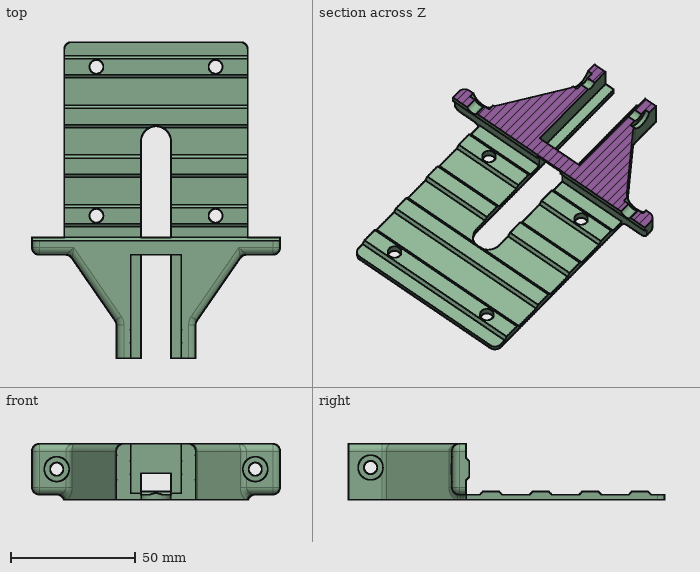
import cadquery as cq

profile_size = 20.0
base_thickness = 2.1
flange_height = 20.5
bracket_height = base_thickness + flange_height
edge_radius = 3.0

plate_width = 74.0
ridge_count = 4
plate_length = ridge_count * profile_size
plate_hole_diameter = 5.5
plate_hole_spacing = 48.0
slot_width = 12.0
slot_centre_y = 2 * profile_size
slot_height = 10.6

ridge_height = 1.25
ridge_base_width = 9.0
ridge_top_width = ridge_base_width - 2 * ridge_height

flange_width = 100.0
flange_thickness = 5.75
flange_hole_spacing = 80.0
flange_hole_diameter = 5.2
arm_reach = 47.5
arm_wall = 5.75
channel_width = 20.5
channel_floor_z = 2.6
arm_half_width = channel_width / 2 + arm_wall
gusset_flange_x = 34.8
gusset_arm_y = -33.0
root_corner_radius = 4.0
arm_hole_diameter = 5.25
arm_hole_setback = 9.0
arm_hole_y = -arm_reach + arm_hole_setback
arm_hole_z = 13.0
counterbore_diameter = 10.0
counterbore_depth = 2.0

mid_height = base_thickness + flange_height / 2
overlap = 1.0
blend_depth = 5.0
corner_margin = 0.06


def box(x_min, x_max, y_min, y_max, z_min, z_max):
    """Axis-aligned block between the given limits."""
    size = (x_max - x_min, y_max - y_min, z_max - z_min)
    return cq.Workplane("XY").box(*size, centered=False).translate((x_min, y_min, z_min))


def ridge(length):
    """Trapezoidal rib along X, centred on the origin and rising along +Z."""
    outline = [
        (-ridge_base_width / 2, -overlap),
        (ridge_base_width / 2, -overlap),
        (ridge_base_width / 2, 0),
        (ridge_top_width / 2, ridge_height),
        (-ridge_top_width / 2, ridge_height),
        (-ridge_base_width / 2, 0),
    ]
    return cq.Workplane("YZ").polyline(outline).close().extrude(length / 2, both=True)


def base_plate():
    """Flat plate with rounded rear corners and evenly spaced ridges."""
    plate = box(-plate_width / 2, plate_width / 2, -overlap, plate_length, 0, base_thickness)
    plate = plate.edges("|Z and >Y").fillet(edge_radius)
    for index in range(ridge_count):
        ridge_y = (index + 0.5) * profile_size
        plate = plate.union(ridge(plate_width).translate((0, ridge_y, base_thickness)))
    return plate


def mirrored_edges(body, midpoints):
    """Edges whose midpoints lie nearest the given points, on both sides of the YZ plane."""
    found = []
    for x, y, z in midpoints:
        for side in (-1, 1):
            found += body.edges(cq.NearestToPointSelector((side * x, y, z))).vals()
    return body.newObject(found)


def arm_block():
    """Tapering block carrying the arms, reaching below Z = 0 so its root blends can form fully."""
    half_plate = plate_width / 2
    slope = (gusset_flange_x - arm_half_width) / (-flange_thickness - gusset_arm_y)
    gusset_root_y = (half_plate - gusset_flange_x) / slope - flange_thickness
    right_side = [
        (half_plate, 0),
        (half_plate, gusset_root_y),
        (arm_half_width, gusset_arm_y),
        (arm_half_width, -arm_reach),
    ]
    left_side = [(-x, y) for x, y in reversed(right_side)]
    outline = cq.Workplane("XY").workplane(offset=-blend_depth).polyline(right_side + left_side).close()
    block = outline.extrude(bracket_height + blend_depth)

    block_mid_z = (bracket_height - blend_depth) / 2
    root_corners = mirrored_edges(block, [(half_plate, gusset_root_y, block_mid_z)])
    return root_corners.fillet(root_corner_radius)


def bracket_body():
    """Flange joined to the arm block, with its front and upper edges rounded and inner corners blended."""
    half_flange = flange_width / 2
    flange = box(-half_flange, half_flange, -flange_thickness, 0, base_thickness, bracket_height)
    body = flange.union(arm_block())

    front_edge_x = (half_flange + gusset_flange_x) / 2
    gusset_mid_x = (gusset_flange_x + arm_half_width) / 2
    gusset_mid_y = (-flange_thickness + gusset_arm_y) / 2
    arm_mid_y = (gusset_arm_y - arm_reach) / 2
    rounded = [
        (half_flange, -flange_thickness, mid_height),
        (front_edge_x, -flange_thickness, bracket_height),
        (front_edge_x, -flange_thickness, base_thickness),
        (half_flange, -flange_thickness / 2, bracket_height),
        (half_flange, -flange_thickness / 2, base_thickness),
        (gusset_mid_x, gusset_mid_y, bracket_height),
        (arm_half_width, arm_mid_y, bracket_height),
        (arm_half_width, gusset_arm_y, (bracket_height - blend_depth) / 2),
    ]
    body = mirrored_edges(body, rounded).fillet(edge_radius)

    for side in (-1, 1):
        inner_x = side * (gusset_flange_x - corner_margin)
        outer_x = side * (plate_width / 2 + corner_margin)
        corner_zone = cq.selectors.BoxSelector(
            (inner_x, -flange_thickness - corner_margin, base_thickness - corner_margin),
            (outer_x, -corner_margin, bracket_height - edge_radius),
        )
        body = body.edges(corner_zone).fillet(edge_radius)

    below_base = box(-half_flange, half_flange, -arm_reach, 0, -blend_depth, 0)
    return body.cut(below_base)


def cut_channel(part):
    """Open channel between the arms, above the base, plus the round-ended slot and window."""
    half_channel = channel_width / 2
    channel = box(-half_channel, half_channel, -arm_reach, -flange_thickness, channel_floor_z, bracket_height)

    half_slot = slot_width / 2
    slot = box(-half_slot, half_slot, -arm_reach, slot_centre_y, 0, slot_height)
    slot_end = cq.Workplane("XY").center(0, slot_centre_y).circle(half_slot).extrude(slot_height)
    return part.cut(channel).cut(slot).cut(slot_end)


def cut_plate_holes(part):
    """Four through holes on the first and last ridges."""
    for x in (-plate_hole_spacing / 2, plate_hole_spacing / 2):
        for y in (profile_size / 2, plate_length - profile_size / 2):
            hole = cq.Workplane("XY").center(x, y).circle(plate_hole_diameter / 2)
            part = part.cut(hole.extrude(base_thickness + ridge_height))
    return part


def cut_flange_holes(part):
    """Counterbored holes through the flange, entered from the front."""
    front = cq.Workplane("XZ", origin=(0, -flange_thickness, mid_height))
    for x in (-flange_hole_spacing / 2, flange_hole_spacing / 2):
        spot = front.center(x, 0)
        part = part.cut(spot.circle(flange_hole_diameter / 2).extrude(-flange_thickness - ridge_height))
        part = part.cut(spot.circle(counterbore_diameter / 2).extrude(edge_radius))
        part = part.cut(spot.circle(counterbore_diameter / 2).extrude(-counterbore_depth))
    return part


def cut_arm_holes(part):
    """Cross hole through both arms, counterbored from the outer sides."""
    centre = cq.Workplane("YZ").center(arm_hole_y, arm_hole_z)
    part = part.cut(centre.circle(arm_hole_diameter / 2).extrude(arm_half_width, both=True))
    for side in (-1, 1):
        seat = centre.workplane(offset=side * (arm_half_width - counterbore_depth))
        part = part.cut(seat.circle(counterbore_diameter / 2).extrude(side * flange_width))
    return part


def flange_ridge():
    """Ridge across the mounting face at mid height."""
    return ridge(flange_width).rotate((0, 0, 0), (1, 0, 0), -90).translate((0, 0, mid_height))


result = bracket_body().union(base_plate()).union(flange_ridge())
result = cut_channel(result)
result = cut_plate_holes(result)
result = cut_flange_holes(result)
result = cut_arm_holes(result)